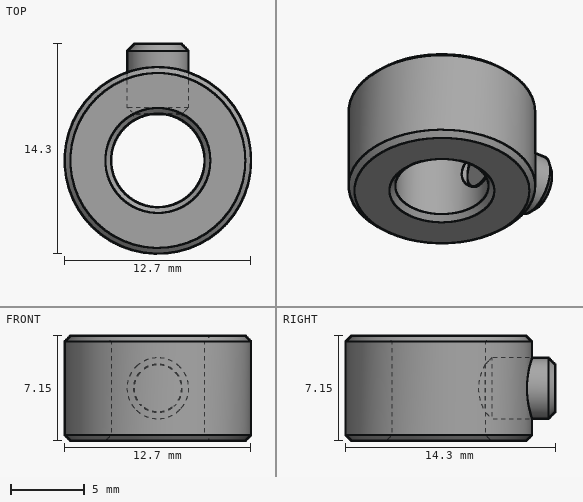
import cadquery as cq

collar_diameter = 12.7
bore_diameter = 6.35
collar_height = 7.15
edge_chamfer = 0.4

screw_diameter = 4.17
screw_chamfer = 0.49
screw_inner_y = 3.13
total_length_y = 14.29
screw_outer_y = total_length_y - collar_diameter / 2

tip_hole_diameter = 3.3


def radial_cylinder(diameter, start_y, end_y):
    """Cylinder on the Y axis between two Y positions."""
    plane = cq.Workplane("XZ").workplane(offset=-start_y)
    return plane.circle(diameter / 2).extrude(start_y - end_y)


def make_screw():
    """Plain round screw with an equal chamfer at both ends."""
    blank = radial_cylinder(screw_diameter, screw_inner_y, screw_outer_y)
    return blank.faces("<Y or >Y").edges().chamfer(screw_chamfer)


def make_collar(screw):
    """Ring with chamfered rims, a radial tip hole and a seat matching the screw."""
    ring = (
        cq.Workplane("XY")
        .workplane(offset=-collar_height / 2)
        .circle(collar_diameter / 2)
        .circle(bore_diameter / 2)
        .extrude(collar_height)
        .faces("<Z or >Z")
        .edges()
        .chamfer(edge_chamfer)
    )
    tip_hole = radial_cylinder(tip_hole_diameter, 0, screw_outer_y - screw_chamfer)
    return ring.cut(tip_hole).cut(screw)


set_screw = make_screw()
collar = make_collar(set_screw)

result = cq.Compound.makeCompound([collar.solids().val(), set_screw.val()])